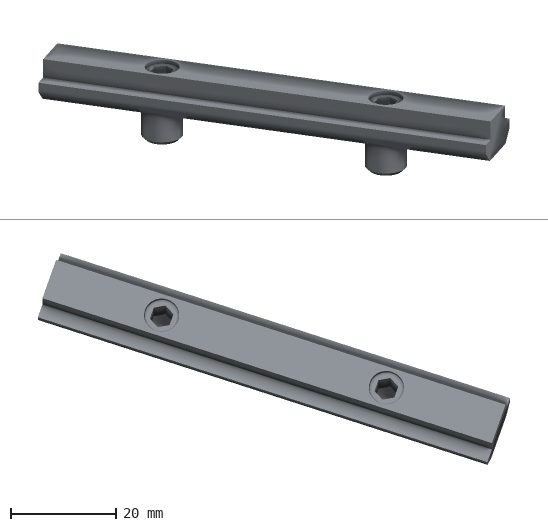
import cadquery as cq
import math

rail_length = 90.0
rail_width = 13.5
rail_height = 8.0
neck_width = 8.1
neck_height = 3.8
bevel = 2.3
bevel_fillet = 1.0

screw_spacing = rail_length / 2
screw_diameter = 8.0
screw_end_diameter = 6.4
screw_chamfer_height = 0.8
access_hole_diameter = 6.7
screw_protrusion = 6.7
screw_recess = 0.7

socket_flats = 4.0
socket_depth = 5.0
socket_cone_angle = 120.0

screw_bottom = -screw_protrusion
screw_top = rail_height - screw_recess
screw_xs = [-screw_spacing / 2, screw_spacing / 2]


def make_screw_blank(x):
    """Solid of revolution with a chamfer at both ends."""
    end_radius = screw_end_diameter / 2
    radius = screw_diameter / 2
    return (
        cq.Workplane("XZ")
        .moveTo(0, screw_bottom)
        .lineTo(end_radius, screw_bottom)
        .lineTo(radius, screw_bottom + screw_chamfer_height)
        .lineTo(radius, screw_top - screw_chamfer_height)
        .lineTo(end_radius, screw_top)
        .lineTo(0, screw_top)
        .close()
        .revolve(360, (0, 0), (0, 1))
        .translate((x, 0, 0))
    )


def make_socket(x):
    """Hexagonal pocket, corners toward +Y and -Y, ending in a drill point."""
    corner_radius = socket_flats / math.sqrt(3)
    cone_height = corner_radius / math.tan(math.radians(socket_cone_angle / 2))
    socket_floor = screw_top - socket_depth
    cone_tip = socket_floor - cone_height
    hexagon = (
        cq.Workplane("XY")
        .workplane(offset=cone_tip)
        .polygon(6, 2 * corner_radius)
        .extrude(screw_top - cone_tip)
        .rotate((0, 0, 0), (0, 0, 1), 90)
    )
    drill = (
        cq.Workplane("XZ")
        .moveTo(0, cone_tip)
        .lineTo(corner_radius, socket_floor)
        .lineTo(corner_radius, screw_top)
        .lineTo(0, screw_top)
        .close()
        .revolve(360, (0, 0), (0, 1))
    )
    return hexagon.intersect(drill).translate((x, 0, 0))


def make_screw(x):
    return make_screw_blank(x).cut(make_socket(x))


def make_rail():
    """T-shaped bar with a matching seat for each screw."""
    half_width = rail_width / 2
    half_neck = neck_width / 2
    shoulder = rail_height - neck_height
    right_half = [
        (half_width - bevel, 0),
        (half_width, bevel),
        (half_width, shoulder),
        (half_neck, shoulder),
        (half_neck, rail_height),
    ]
    left_half = [(-y, z) for y, z in reversed(right_half)]
    rail = (
        cq.Workplane("YZ")
        .polyline(right_half + left_half)
        .close()
        .extrude(rail_length / 2, both=True)
    )
    bevel_tops = cq.selectors.BoxSelector(
        (-rail_length, -rail_width, bevel / 2), (rail_length, rail_width, shoulder - bevel / 2)
    )
    rail = rail.edges("|X").edges(bevel_tops).fillet(bevel_fillet)
    for x in screw_xs:
        access_hole = (
            cq.Workplane("XY", origin=(x, 0, rail_height))
            .circle(access_hole_diameter / 2)
            .extrude(-screw_recess - screw_chamfer_height)
        )
        rail = rail.cut(make_screw_blank(x)).cut(access_hole)
    return rail


rail = make_rail()
screws = [make_screw(x) for x in screw_xs]

result = cq.Compound.makeCompound([rail.val(), *[screw.val() for screw in screws]])